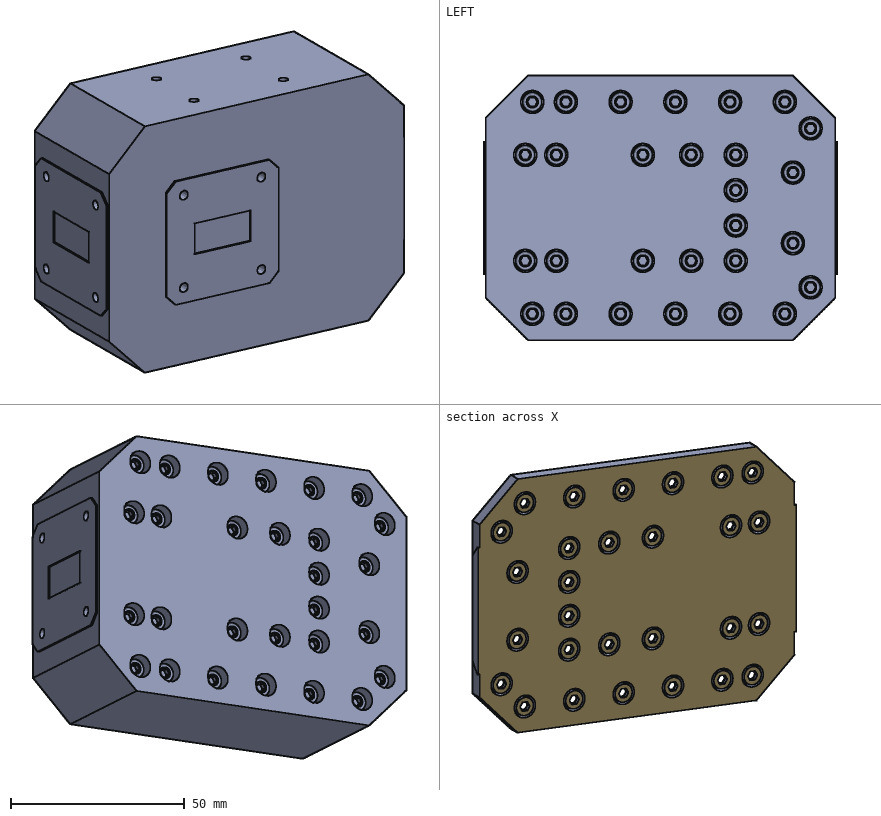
import cadquery as cq
import math

width = 40.6
length = 101.6
height = 76.2
end_pad_thickness = 0.5
side_pad_thickness = 0.6
corner_chamfer = 12.2

pad_size = 38.1
pad_chamfer = 3.0
window_width = 19.1
window_height = 9.5
flange_hole_span_across = 26.4
flange_hole_span_up = 28.5
side_pad_y = -12.0

drill_diameter = 2.7
drill_depth = 6.1
drill_tip_angle = 118.0
top_hole_span_x = 20.0
top_hole_span_y = 30.5

recess_diameter = 6.6
head_depth = 2.8
head_diameter = 5.6
head_height = 3.0
head_round = 0.3
socket_flats = 2.5
socket_mouth_diameter = 3.4
socket_mouth_depth = 0.3
socket_depth = 2.0
screw_row_1_z = 30.5
screw_row_1_y = (36.9, 27.2, 11.5, -4.3, -20.0, -35.8)
screw_row_2_z = 15.2
screw_row_2_y = (38.9, 30.0, 5.1, -8.8, -21.6)
screw_pairs_y_z = ((-21.6, 5.1), (-38.1, 10.2), (-43.2, 22.9))

face_left = -width / 2
face_right = width / 2 - side_pad_thickness
face_end = length / 2 - end_pad_thickness
face_top = height / 2


def make_block():
    """Block with chamfered corners, seen along X."""
    block = cq.Workplane("XY").box(face_right - face_left, 2 * face_end, height)
    block = block.edges("|X").chamfer(corner_chamfer)
    return block.translate(((face_left + face_right) / 2, 0, 0))


def drill_cutter():
    """Drill shape entering at the origin and pointing along -Z, with a conical tip."""
    radius = drill_diameter / 2
    tip_length = radius / math.tan(math.radians(drill_tip_angle / 2))
    profile = (
        cq.Workplane("XZ")
        .moveTo(0, 0)
        .lineTo(radius, 0)
        .lineTo(radius, -drill_depth)
        .lineTo(0, -drill_depth - tip_length)
        .close()
    )
    return profile.revolve(360, (0, 0, 0), (0, 1, 0))


def drill_pattern(plane, span_across, span_up):
    """Four drills at the corners of a rectangle on a plane."""
    drill = drill_cutter().val()
    points = cq.Workplane(plane).rect(span_across, span_up, forConstruction=True).vertices()
    return points.eachpoint(lambda place: drill.moved(place), useLocalCoordinates=True, combine=False)


def add_flange(body, origin, across, outward, thickness):
    """Add a flange pad whose window is sunk to the block face, with four tapped holes."""
    plane = cq.Plane(origin=origin, xDir=across, normal=outward)
    pad = cq.Workplane(plane).rect(pad_size, pad_size).extrude(thickness)
    pad = pad.edges(cq.selectors.ParallelDirSelector(cq.Vector(outward))).chamfer(pad_chamfer)
    window = cq.Workplane(plane).rect(window_width, window_height).extrude(thickness)
    outer_plane = cq.Plane(plane.toWorldCoords((0, 0, thickness)), across, outward)
    holes = drill_pattern(outer_plane, flange_hole_span_across, flange_hole_span_up)
    return body.union(pad.cut(window)).cut(holes)


def screw_centres():
    """Screw centres as (y, z), mirrored about the middle height."""
    upper = [(y, screw_row_1_z) for y in screw_row_1_y]
    upper += [(y, screw_row_2_z) for y in screw_row_2_y]
    upper += list(screw_pairs_y_z)
    return upper + [(y, -z) for y, z in upper]


def screw_recess():
    """Space left open around one screw head: counterbore minus the rounded, socketed head."""
    counterbore = cq.Workplane("YZ").circle(recess_diameter / 2).extrude(head_depth + head_height)
    head_plane = cq.Workplane("YZ", origin=(head_depth, 0, 0))
    head = head_plane.circle(head_diameter / 2).extrude(head_height)
    head = head.faces("<X").edges().fillet(head_round)
    socket_corners = socket_flats / math.cos(math.pi / 6)
    socket = head_plane.polygon(6, socket_corners).extrude(socket_depth)
    mouth = head_plane.circle(socket_mouth_diameter / 2)
    mouth = mouth.workplane(offset=socket_mouth_depth).circle(socket_flats / 2).loft()
    return counterbore.cut(head.cut(socket).cut(mouth)).val()


def cut_screws(body):
    """Open every screw recess in the -X face."""
    recess = screw_recess()
    recesses = [recess.translate(cq.Vector(face_left, y, z)) for y, z in screw_centres()]
    return body.cut(cq.Workplane(cq.Compound.makeCompound(recesses)))


result = make_block()
result = add_flange(result, (0, -face_end, 0), (1, 0, 0), (0, -1, 0), end_pad_thickness)
result = add_flange(result, (0, face_end, 0), (1, 0, 0), (0, 1, 0), end_pad_thickness)
result = add_flange(result, (face_right, side_pad_y, 0), (0, 1, 0), (1, 0, 0), side_pad_thickness)
result = cut_screws(result)

top_plane = cq.Plane((0, 0, face_top), (1, 0, 0), (0, 0, 1))
result = result.cut(drill_pattern(top_plane, top_hole_span_x, top_hole_span_y))